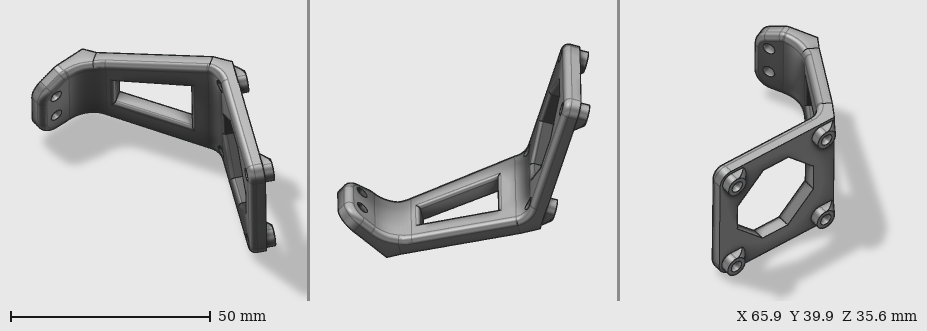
import cadquery as cq
import math

arm_angle = 34.0
plate_angle = -24.9
roll_angle = -1.0

flange_thickness = 4.0
flange_length = 16.2
flange_bottom = 3.55
flange_top = 24.1
flange_corner_radius = 5.0
flange_slope_start = 7.65
flange_slope_drop = 3.7
flange_slope_radius = 3.3
flange_hole_diameter = 3.3
flange_hole_y = 4.6
flange_hole_spacing = 8.05
flange_lower_hole_z = flange_bottom + 6.5

arm_length = 39.55
arm_thickness = 4.0
arm_taper_start = 3.7
arm_window_start = 9.6
arm_window_end = 29.75
window_start_z = (9.9, 19.1)
window_end_z = (7.85, 25.25)

plate_size = 35.0
plate_end = 35.8
plate_thickness = 4.1
plate_center = plate_end - plate_size / 2
hole_spacing = 28.0
plate_hole_diameter = 3.2
plate_corner_radius = (plate_size - hole_spacing) / 2
opening_width = 23.9
opening_flat = 7.9
boss_diameter = 5.4
boss_height = 2.5
boss_base_radius = 4.6

flange_reach = 10.55

outer_fillet = 1.7
opening_fillet = 1.0
window_fillet = 1.0
flange_bend_radius = 10.0
plate_bend_radius = 4.95

arm_dx = math.cos(math.radians(arm_angle))
arm_dy = math.sin(math.radians(arm_angle))
plate_dx = math.cos(math.radians(plate_angle))
plate_dy = math.sin(math.radians(plate_angle))
bend_x = arm_length * arm_dx
bend_y = flange_length + arm_length * arm_dy

arm_plane = cq.Plane((0, flange_length, 0), (arm_dx, arm_dy, 0), (arm_dy, -arm_dx, 0))
plate_plane = cq.Plane((bend_x, bend_y, 0), (plate_dx, plate_dy, 0), (plate_dy, -plate_dx, 0))

bend_turn = math.radians(arm_angle - plate_angle)
inner_bend_along = (arm_thickness * math.cos(bend_turn) - plate_thickness) / math.sin(bend_turn)
flange_bend_along = (flange_thickness - arm_thickness * arm_dy) / arm_dx
arm_taper_end = arm_length + inner_bend_along - plate_bend_radius * math.tan(bend_turn / 2)
inner_bend = arm_plane.toWorldCoords((arm_length + inner_bend_along, 0, arm_thickness)).toTuple()[:2]
flange_bend = arm_plane.toWorldCoords((flange_bend_along, 0, arm_thickness)).toTuple()[:2]

flange_middle = (flange_thickness, flange_length / 3)
arm_middle = arm_plane.toWorldCoords((arm_length / 2, 0, arm_thickness)).toTuple()[:2]
plate_middle = plate_plane.toWorldCoords((plate_center, 0, plate_thickness)).toTuple()[:2]


def nearest(x, y, z):
    return cq.selectors.NearestToPointSelector((x, y, z))


def make_bent_strip():
    """Wall strip bent in plan, tall enough for every wall, with its inner bends rounded."""
    strip = (
        cq.Workplane("XY")
        .workplane(offset=-plate_size)
        .polyline([
            (0, 0),
            (0, flange_length),
            (bend_x, bend_y),
            plate_plane.toWorldCoords((plate_end, 0, 0)).toTuple()[:2],
            plate_plane.toWorldCoords((plate_end, 0, plate_thickness)).toTuple()[:2],
            inner_bend,
            flange_bend,
            (flange_thickness, 0),
        ])
        .close()
        .extrude(3 * plate_size)
    )
    strip = strip.edges(nearest(*inner_bend, plate_size / 2)).fillet(plate_bend_radius)
    return strip.edges(nearest(*flange_bend, plate_size / 2)).fillet(flange_bend_radius)


def round_inner_rim(body, inner_points, rim_edges):
    """Round the chosen edges of the inner faces lying nearest the given plan points."""
    rim = body.newObject([])
    for x, y in inner_points:
        rim = rim.add(body.faces(nearest(x, y, plate_size / 2)))
    return body.newObject(rim.edges(rim_edges).vals()).fillet(outer_fillet)


def make_flange(strip):
    """Flange-height wall with its free corners cut, running a little way into the arm."""
    profile = (
        cq.Workplane("YZ")
        .polyline([
            (0, flange_bottom),
            (bend_y, flange_bottom),
            (bend_y, flange_top),
            (flange_slope_start, flange_top),
            (0, flange_top - flange_slope_drop),
        ])
        .close()
        .extrude(flange_reach)
    )
    slope_start = nearest(flange_reach / 2, flange_slope_start, flange_top)
    profile = profile.edges("|X and <Y").fillet(flange_corner_radius)
    profile = profile.edges(slope_start).fillet(flange_slope_radius)
    flange = strip.intersect(profile)
    return round_inner_rim(flange, [flange_middle, flange_bend, arm_middle], "(not |Z) and (not >X) or <Y")


def make_plate_height_wall(strip):
    """Wall at the full height of the plate, with the free plate corners rounded."""
    limit = cq.Workplane("XY").rect(4 * bend_x, 4 * bend_x).extrude(plate_size)
    wall = strip.intersect(limit)
    end_x, end_y, _ = plate_plane.toWorldCoords((plate_end, 0, plate_thickness / 2)).toTuple()
    for corner_z in (0, plate_size):
        wall = wall.edges(nearest(end_x, end_y, corner_z)).fillet(plate_corner_radius)
    return round_inner_rim(wall, [arm_middle, inner_bend, plate_middle], "(not |Z) or >X")


def make_tapered_wall(strip):
    """Wall whose height grows along the arm, kept from the flange onward."""
    bottom_slope = -flange_bottom / (arm_taper_end - arm_taper_start)
    top_slope = (plate_size - flange_top) / (arm_taper_end - arm_taper_start)
    low_end = arm_taper_start - arm_length / 2
    high_end = arm_taper_start + 2 * arm_length

    def taper_point(along, level, slope):
        return (along, level + slope * (along - arm_taper_start))

    profile = (
        cq.Workplane(arm_plane)
        .polyline([
            taper_point(low_end, flange_bottom, bottom_slope),
            taper_point(high_end, flange_bottom, bottom_slope),
            taper_point(high_end, flange_top, top_slope),
            taper_point(low_end, flange_top, top_slope),
        ])
        .close()
        .extrude(2 * arm_length, both=True)
    )
    wall = strip.intersect(profile)
    wall = round_inner_rim(wall, [flange_bend, arm_middle, inner_bend], "not |Z")
    beyond_flange = (
        cq.Workplane(arm_plane)
        .center(arm_taper_start + arm_length, 0)
        .rect(2 * arm_length, 4 * plate_size)
        .extrude(2 * arm_length, both=True)
    )
    return wall.intersect(beyond_flange)


def cut_window(body, plane, points, thickness, fillet):
    """Cut a polygon through a wall and round its rim on the inner face."""
    body = body.cut(cq.Workplane(plane).polyline(points).close().extrude(thickness))
    rim = body.newObject([])
    for start, end in zip(points, points[1:] + points[:1]):
        middle = plane.toWorldCoords(((start[0] + end[0]) / 2, (start[1] + end[1]) / 2, thickness))
        rim = rim.add(body.edges(nearest(*middle.toTuple())))
    return body.newObject(rim.vals()).fillet(fillet)


def octagon_points():
    half_width = opening_width / 2
    half_flat = opening_flat / 2
    corners = []
    for turn in range(4):
        c = round(math.cos(turn * math.pi / 2))
        s = round(math.sin(turn * math.pi / 2))
        for x, y in ((half_width, -half_flat), (half_width, half_flat)):
            corners.append((plate_center + c * x - s * y, plate_size / 2 + s * x + c * y))
    return corners


def make_boss(x, z):
    """Round boss on the back of the plate, flared to a cone on the side facing the arm."""
    back = cq.Workplane(plate_plane).center(x, z)
    post = back.circle(boss_diameter / 2).extrude(-boss_height)
    cone = (
        back.circle(boss_base_radius)
        .workplane(offset=-boss_height)
        .circle(boss_diameter / 2)
        .loft()
    )
    flare_side = (
        back.center(-boss_base_radius / 2, 0)
        .rect(boss_base_radius, boss_diameter)
        .extrude(-boss_height)
    )
    return post.union(cone.intersect(flare_side))


bent_strip = make_bent_strip()
arm_and_plate = make_plate_height_wall(bent_strip).intersect(make_tapered_wall(bent_strip))
body = arm_and_plate.union(make_flange(bent_strip))

arm_window = [
    (arm_window_start, window_start_z[0]),
    (arm_window_end, window_end_z[0]),
    (arm_window_end, window_end_z[1]),
    (arm_window_start, window_start_z[1]),
]
body = cut_window(body, arm_plane, arm_window, arm_thickness, window_fillet)
body = cut_window(body, plate_plane, octagon_points(), plate_thickness, opening_fillet)

inside_arm_back = (
    cq.Workplane(arm_plane)
    .rect(4 * plate_size, 4 * plate_size)
    .extrude(2 * plate_size)
)
hole_centers = [
    (plate_center + side * hole_spacing / 2, plate_size / 2 + level * hole_spacing / 2)
    for side in (-1, 1)
    for level in (-1, 1)
]
for x, z in hole_centers:
    body = body.union(make_boss(x, z).intersect(inside_arm_back))

plate_holes = (
    cq.Workplane(plate_plane)
    .workplane(offset=-boss_height)
    .pushPoints(hole_centers)
    .circle(plate_hole_diameter / 2)
    .extrude(boss_height + 2 * plate_thickness)
)
flange_holes = (
    cq.Workplane("YZ")
    .pushPoints([
        (flange_hole_y, flange_lower_hole_z),
        (flange_hole_y, flange_lower_hole_z + flange_hole_spacing),
    ])
    .circle(flange_hole_diameter / 2)
    .extrude(flange_thickness)
)
body = body.cut(plate_holes).cut(flange_holes)

result = body.rotate((0, 0, 0), (0, 1, 0), roll_angle)